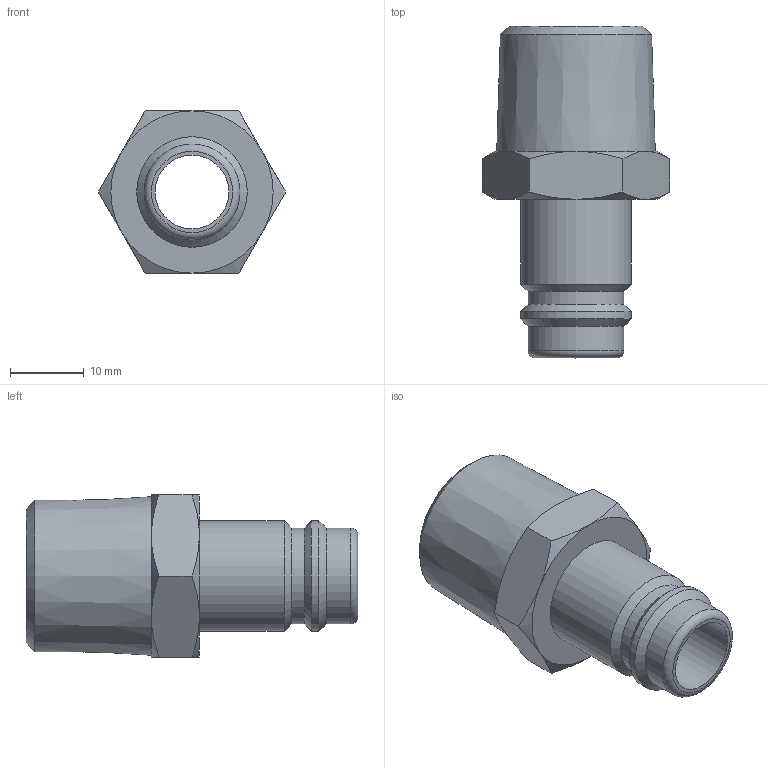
import cadquery as cq
import math

total_length = 45.0
bore_diameter = 10.0

plug_diameter = 15.0
groove_diameter = 13.0
tip_fillet = 1.0
edge_bevel = (plug_diameter - groove_diameter) / 2
rib_start = 4.3
rib_land = 1.0
shoulder_start = 9.0

hex_across_flats = 22.0
hex_sides = 6
hex_start = 21.5
hex_width = 6.5
hex_end = hex_start + hex_width
hex_chamfer_angle = math.radians(30)

gauge_diameter = 20.955
gauge_length = 8.2
diameter_taper = 1 / 16
pipe_chamfer = 1.2


def pipe_radius(y):
    """Radius of the taper at station y."""
    gauge_station = total_length - gauge_length
    return (gauge_diameter + (gauge_station - y) * diameter_taper) / 2


def revolve_about_y(profile):
    """Close a half profile in the XY plane and spin it about the part axis."""
    return profile.close().revolve(360, (0, 0, 0), (0, 1, 0))


def make_plug():
    """Plug with rounded tip, retaining rib and bevelled shoulder."""
    plug_radius = plug_diameter / 2
    groove_radius = groove_diameter / 2
    rib_land_start = rib_start + edge_bevel
    rib_land_end = rib_land_start + rib_land
    fillet_drop = tip_fillet * (1 - math.sqrt(0.5))
    profile = (
        cq.Workplane("XY")
        .moveTo(0, 0)
        .lineTo(groove_radius - tip_fillet, 0)
        .threePointArc((groove_radius - fillet_drop, fillet_drop), (groove_radius, tip_fillet))
        .lineTo(groove_radius, rib_start)
        .lineTo(plug_radius, rib_land_start)
        .lineTo(plug_radius, rib_land_end)
        .lineTo(groove_radius, rib_land_end + edge_bevel)
        .lineTo(groove_radius, shoulder_start)
        .lineTo(plug_radius, shoulder_start + edge_bevel)
        .lineTo(plug_radius, hex_start)
        .lineTo(0, hex_start)
    )
    return revolve_about_y(profile)


def make_hex_collar():
    """Hexagon with corners on the X axis, chamfered on both faces."""
    flat_radius = hex_across_flats / 2
    corner_radius = flat_radius / math.cos(math.pi / hex_sides)
    chamfer_height = (corner_radius - flat_radius) * math.tan(hex_chamfer_angle)
    prism = (
        cq.Workplane("XZ", origin=(0, hex_start, 0))
        .polygon(hex_sides, 2 * corner_radius)
        .extrude(-hex_width)
    )
    chamfer_envelope = revolve_about_y(
        cq.Workplane("XY")
        .moveTo(0, hex_start)
        .lineTo(flat_radius, hex_start)
        .lineTo(corner_radius, hex_start + chamfer_height)
        .lineTo(corner_radius, hex_end - chamfer_height)
        .lineTo(flat_radius, hex_end)
        .lineTo(0, hex_end)
    )
    return prism.intersect(chamfer_envelope)


def make_taper_pipe():
    """Conical pipe end with a 45 degree end chamfer."""
    chamfer_start = total_length - pipe_chamfer
    profile = (
        cq.Workplane("XY")
        .moveTo(0, hex_end)
        .lineTo(pipe_radius(hex_end), hex_end)
        .lineTo(pipe_radius(chamfer_start), chamfer_start)
        .lineTo(pipe_radius(chamfer_start) - pipe_chamfer, total_length)
        .lineTo(0, total_length)
    )
    return revolve_about_y(profile)


def make_bore():
    """Cutter for the straight bore through the full length."""
    return cq.Workplane("XZ").circle(bore_diameter / 2).extrude(-total_length)


result = make_plug().union(make_hex_collar()).union(make_taper_pipe()).cut(make_bore())